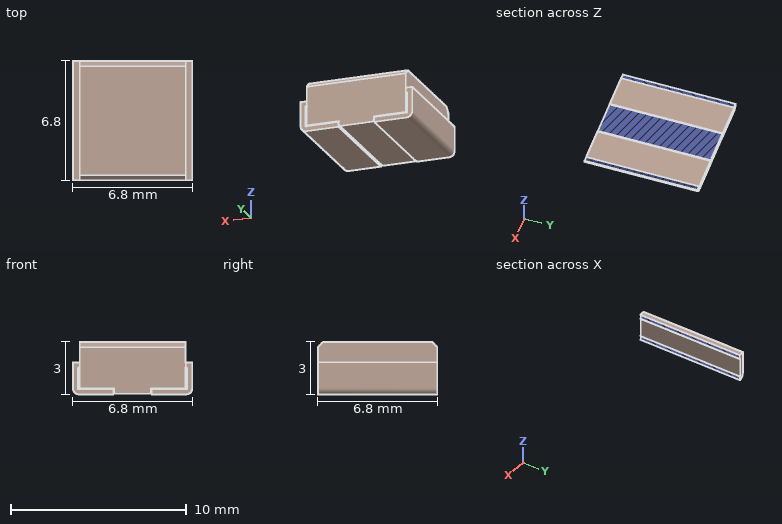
import cadquery as cq

overall_width = 6.8
overall_depth = 6.8
overall_height = 3.0

strip_thickness = 0.3
inner_bend_radius = 0.05
outer_bend_radius = inner_bend_radius + strip_thickness
foot_length = 2.31
terminal_height = 1.82

side_gap = 0.08
foot_gap = 0.05
boss_gap = 0.035
boss_clearance = 0.035
top_chamfer = 0.3
bottom_edge_radius = 0.06
boss_edge_radius = 0.1

half_width = overall_width / 2
half_depth = overall_depth / 2
leg_inner_x = half_width - strip_thickness
housing_half_width = leg_inner_x - side_gap
housing_bottom = strip_thickness + foot_gap
foot_end_x = half_width - foot_length
boss_half_width = foot_end_x - boss_gap
tab_bottom = terminal_height - strip_thickness


def make_block(width, bottom, top):
    """Full-depth block centred on X and Y."""
    return (
        cq.Workplane("XY")
        .workplane(offset=bottom)
        .rect(width, overall_depth)
        .extrude(top - bottom)
    )


def make_housing():
    """Block with chamfered top front and back edges and a boss between the feet."""
    block = make_block(2 * housing_half_width, housing_bottom, overall_height)
    block = block.faces(">Z").edges("|X").chamfer(top_chamfer)
    block = block.faces("<Z").edges("|Y").fillet(bottom_edge_radius)
    boss = make_block(2 * boss_half_width, boss_clearance, housing_bottom)
    boss = boss.faces("<Z").edges("|Y").fillet(boss_edge_radius)
    return block.union(boss)


def make_terminal(side):
    """Strip with a foot, a leg and a tab meeting the housing; side is +1 or -1 along X."""
    outline = [
        (foot_end_x, 0),
        (half_width, 0),
        (half_width, terminal_height),
        (housing_half_width, terminal_height),
        (housing_half_width, tab_bottom),
        (leg_inner_x, tab_bottom),
        (leg_inner_x, strip_thickness),
        (foot_end_x, strip_thickness),
    ]
    strip = (
        cq.Workplane("XZ", origin=(0, half_depth, 0))
        .polyline([(side * x, z) for x, z in outline])
        .close()
        .extrude(overall_depth)
    )
    outer_corner = cq.selectors.NearestToPointSelector((side * half_width, 0, 0))
    strip = strip.edges(outer_corner).fillet(outer_bend_radius)
    for corner_z in (strip_thickness, tab_bottom):
        inner_corner = cq.selectors.NearestToPointSelector((side * leg_inner_x, 0, corner_z))
        strip = strip.edges(inner_corner).fillet(inner_bend_radius)
    return strip


housing = make_housing()
terminals = [make_terminal(side) for side in (-1, 1)]

result = cq.Compound.makeCompound([housing.val(), *[terminal.val() for terminal in terminals]])